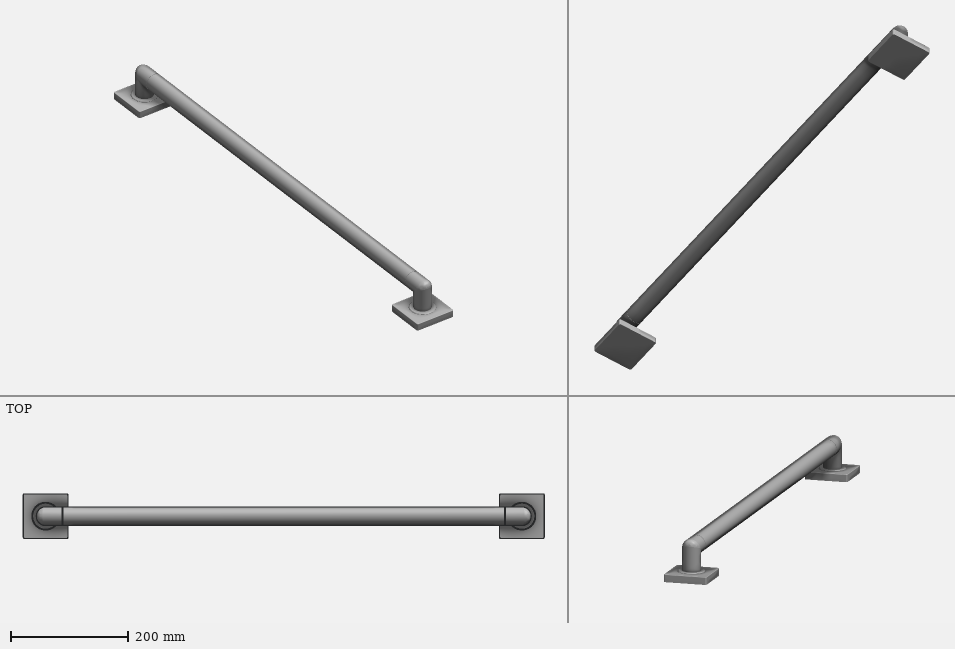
import cadquery as cq
import math

overall_length = 889.0
overall_height = 70.0
plate_side = 76.5
plate_thickness = 13.0
plate_corner_radius = 3.0
plate_rim_radius = 1.0
tube_diameter = 32.0
collar_diameter = 47.0
collar_height = 2.0
collar_chamfer = 1.3
elbow_rounding = 11.0
joint_inset = 67.0
joint_width = 2.0
joint_depth = 0.5

tube_radius = tube_diameter / 2
axis_height = overall_height - tube_radius
post_x = (overall_length - plate_side) / 2
corner_slope = 1 - elbow_rounding / tube_radius
joint_x = overall_length / 2 - joint_inset


def make_plate(x):
    """Square wall plate with rounded upright corners and a softened top rim."""
    plate = cq.Workplane("XY").center(x, 0).rect(plate_side, plate_side).extrude(plate_thickness)
    return plate.edges("|Z").fillet(plate_corner_radius).faces(">Z").edges().fillet(plate_rim_radius)


def make_collar(x):
    """Chamfered ring at the foot of a post."""
    collar = cq.Workplane("XY", origin=(x, 0, plate_thickness)).circle(collar_diameter / 2)
    return collar.extrude(collar_height).faces(">Z").edges().chamfer(collar_chamfer)


def make_wedge(side, points):
    """Prism through the elbow along Y; points are (outward, up) offsets from the elbow centre."""
    outline = [(side * (post_x + outward), axis_height + up) for outward, up in points]
    return cq.Workplane("XZ").polyline(outline).close().extrude(tube_diameter, both=True)


def make_ellipsoid(side):
    """Sheared ball that touches the tube and the post tangentially around the elbow."""
    flatten = math.sqrt(1 - corner_slope**2)
    shear = cq.Matrix([
        [1, 0, 0, side * post_x],
        [0, 1, 0, 0],
        [side * corner_slope, 0, flatten, axis_height],
    ])
    ball = cq.Workplane("XY").sphere(tube_radius).val()
    return cq.Workplane("XY").add(ball.transformGeometry(shear))


def make_half_bar(side):
    """Half of the straight tube joined to its post through a rounded mitred elbow."""
    reach = overall_length
    rise = corner_slope * reach
    tube = cq.Workplane("YZ", origin=(0, 0, axis_height)).circle(tube_radius)
    tube = tube.extrude(side * overall_length / 2)
    post = cq.Workplane("XY", origin=(side * post_x, 0, plate_thickness)).circle(tube_radius)
    post = post.extrude(overall_height)

    tube_wedge = make_wedge(side, [(0, 0), (rise, reach), (-reach, reach), (-reach, -reach)])
    corner_wedge = make_wedge(side, [(0, 0), (rise, reach), (reach, reach), (reach, rise)])
    post_wedge = make_wedge(side, [(0, 0), (reach, rise), (reach, -reach), (-reach, -reach)])
    corner = make_ellipsoid(side).intersect(corner_wedge)
    return tube.intersect(tube_wedge).union(corner).union(post.intersect(post_wedge))


def make_joint_groove(x):
    """Shallow ring cut where the elbow meets the straight tube."""
    ring = cq.Workplane("YZ", origin=(x - joint_width / 2, 0, axis_height))
    return ring.circle(tube_diameter).circle(tube_radius - joint_depth).extrude(joint_width)


result = make_half_bar(-1).union(make_half_bar(1))

for side in (-1, 1):
    result = result.union(make_collar(side * post_x))
    result = result.union(make_plate(side * post_x))
    result = result.cut(make_joint_groove(side * joint_x))